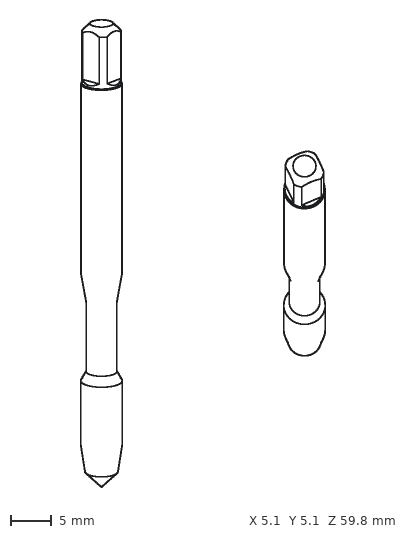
import cadquery as cq

total_length = 59.8

shank_diameter = 5.0
neck_diameter = 3.75
shank_bottom = total_length - 32.3
neck_top = total_length - 35.95

square_width = 4.0
square_corner_diameter = 4.8
square_top_diameter = 2.8
square_length = 7.0
shoulder_depth = 7.8

head_diameter = 5.1
head_top = 14.95
back_cone_length = 1.2
lead_top = 5.45
point_diameter = 4.05

shank_radius = shank_diameter / 2
neck_radius = neck_diameter / 2
corner_radius = square_corner_diameter / 2
square_top_radius = square_top_diameter / 2
head_radius = head_diameter / 2
point_radius = point_diameter / 2
shank_top = total_length - shoulder_depth
shoulder_top = shank_top + shank_radius - corner_radius
square_chamfer_bottom = total_length - (corner_radius - square_top_radius)
back_cone_bottom = head_top - back_cone_length


def revolve_profile(points):
    """Turn a closed (radius, height) outline around the Z axis."""
    return cq.Workplane("XZ").polyline(points).close().revolve(360, (0, 0), (0, 1))


def make_flat_cutter(angle):
    """Material removed beside one flat of the square, with a 45 degree run-out at its foot."""
    flat_offset = square_width / 2
    flat_bottom = total_length - square_length
    cut_depth = shank_radius
    outer = flat_offset + cut_depth
    outline = [
        (flat_offset, total_length),
        (flat_offset, flat_bottom),
        (outer, flat_bottom - cut_depth),
        (outer, total_length),
    ]
    cutter = cq.Workplane("XZ").polyline(outline).close().extrude(shank_radius, both=True)
    return cutter.rotate((0, 0, 0), (0, 0, 1), angle)


def make_shank():
    """Round shank with its reduced neck and the four flats of the drive square."""
    shank = revolve_profile([
        (0, head_top),
        (neck_radius, head_top),
        (neck_radius, neck_top),
        (shank_radius, shank_bottom),
        (shank_radius, shank_top),
        (corner_radius, shoulder_top),
        (corner_radius, square_chamfer_bottom),
        (square_top_radius, total_length),
        (0, total_length),
    ])
    for angle in (0, 90, 180, 270):
        shank = shank.cut(make_flat_cutter(angle))
    return shank


def make_cutting_head():
    """Cutting head with a conical back end, a tapered lead and a conical point."""
    return revolve_profile([
        (0, 0),
        (point_radius, point_radius),
        (head_radius, lead_top),
        (head_radius, back_cone_bottom),
        (neck_radius, head_top),
        (0, head_top),
    ])


shank = make_shank()
cutting_head = make_cutting_head()

result = cq.Compound.makeCompound([shank.val(), cutting_head.val()])